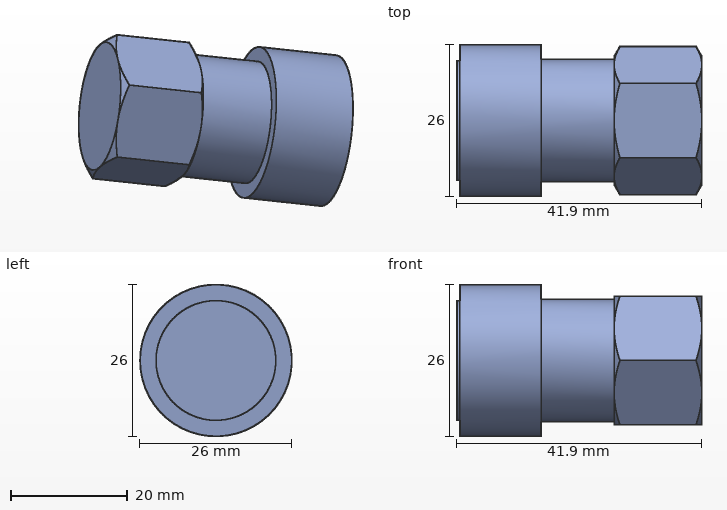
import cadquery as cq
import math

total_length = 41.9
face_diameter = 20.5
face_length = 0.5
head_diameter = 26.0
head_length = 13.9
neck_diameter = 21.0
hex_length = 15.0
hex_sides = 6
hex_across_flats = 22.0
hex_chamfer_angle = 30.0

head_start = face_length
neck_start = head_start + head_length
hex_start = total_length - hex_length
neck_length = hex_start - neck_start


def cylinder(start, length, diameter):
    """Solid cylinder along +X from the given X position."""
    return cq.Workplane("YZ").workplane(offset=start).circle(diameter / 2).extrude(length)


def chamfered_hexagon():
    """Hexagon with flats facing +Z and -Z, its corners turned conically at both ends."""
    across_corners = hex_across_flats / math.cos(math.pi / hex_sides)
    prism = (
        cq.Workplane("YZ")
        .workplane(offset=hex_start)
        .polygon(hex_sides, across_corners)
        .extrude(hex_length)
    )

    end_radius = hex_across_flats / 2
    corner_radius = across_corners / 2
    chamfer_length = (corner_radius - end_radius) * math.tan(math.radians(hex_chamfer_angle))
    envelope = (
        cq.Workplane("XY")
        .moveTo(hex_start, 0)
        .lineTo(hex_start, end_radius)
        .lineTo(hex_start + chamfer_length, corner_radius)
        .lineTo(total_length - chamfer_length, corner_radius)
        .lineTo(total_length, end_radius)
        .lineTo(total_length, 0)
        .close()
        .revolve(360, (0, 0, 0), (1, 0, 0))
    )
    return prism.intersect(envelope)


face = cylinder(0, face_length, face_diameter)
head = cylinder(head_start, head_length, head_diameter)
neck = cylinder(neck_start, neck_length, neck_diameter)

result = face.union(head).union(neck).union(chamfered_hexagon())